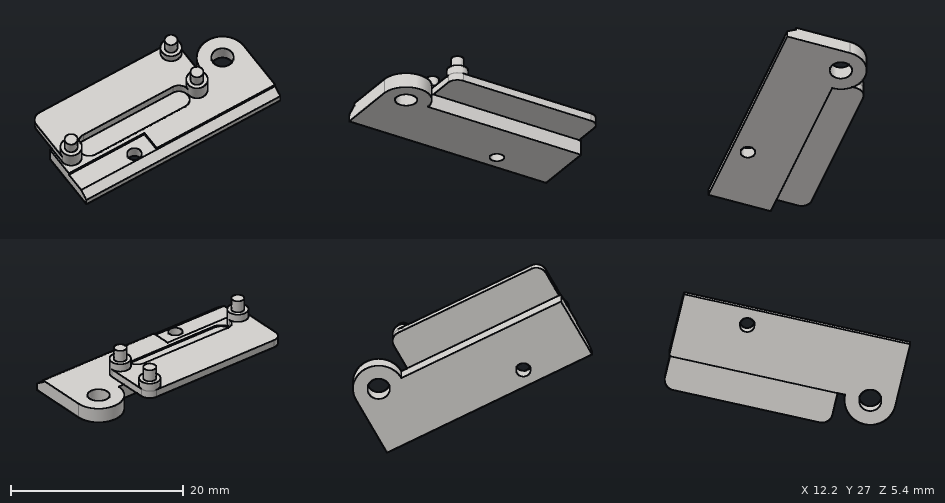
import cadquery as cq

length = 27.0
width = 12.25
base_height = 1.9
bar_left = 4.54
hub_radius = 3.0
hub_hole_diameter = 2.6

recess_depth = 0.3
bevel_left = 11.15
bevel_end_height = 0.9

pocket_left = 8.55
pocket_length = 10.5
pocket_hole_diameter = 1.7
pocket_hole_center = (10.25, 8.0)

plate_thickness = 1.0
post_diameter = 2.5
post_shoulder = 1.0
pin_diameter = 1.5
pin_height = 1.5
post_spacing_x = 5.48
post_spacing_y = 17.5
front_post_y = 1.5

slot_depth_in_base = 0.2

post_radius = post_diameter / 2
left_post_x = post_radius
right_post_x = left_post_x + post_spacing_x
back_post_y = front_post_y + post_spacing_y
plate_top = base_height + plate_thickness
recess_floor = base_height - recess_depth
hub_center = (bar_left, length - hub_radius)
post_centers = [
    (left_post_x, back_post_y),
    (right_post_x, back_post_y),
    (right_post_x, front_post_y),
]


def box(x_min, x_max, y_min, y_max, z_min, height):
    """Axis-aligned block given by its plan limits, bottom and height."""
    return (
        cq.Workplane("XY", origin=(x_min, y_min, z_min))
        .box(x_max - x_min, y_max - y_min, height, centered=False)
    )


def cylinder(center, diameter, z_min, height):
    """Upright cylinder standing at z_min."""
    return cq.Workplane("XY", origin=(*center, z_min)).circle(diameter / 2).extrude(height)


def make_base():
    """Bar with a stepped, beveled right edge, a round hub, a pocket and two holes."""
    bar = (
        cq.Workplane("XZ")
        .moveTo(bar_left, 0)
        .lineTo(width, 0)
        .lineTo(width, bevel_end_height)
        .lineTo(bevel_left, recess_floor)
        .lineTo(bevel_left, base_height)
        .lineTo(bar_left, base_height)
        .close()
        .extrude(-length)
    )
    hub = cylinder(hub_center, 2 * hub_radius, 0, base_height)
    pocket = box(pocket_left, bevel_left, 0, pocket_length, recess_floor, recess_depth)
    hub_hole = cylinder(hub_center, hub_hole_diameter, 0, base_height)
    pocket_hole = cylinder(pocket_hole_center, pocket_hole_diameter, 0, base_height)
    return bar.union(hub).cut(pocket).cut(hub_hole).cut(pocket_hole)


def make_plate():
    """Plate ending at the right-hand post axis, with both left corners rounded."""
    plate = box(
        0, right_post_x,
        front_post_y - post_radius, back_post_y + post_radius,
        base_height, plate_thickness,
    )
    return plate.edges("|Z and <X").fillet(post_radius)


def make_post(center):
    """Shouldered post with a smaller pin on top."""
    shoulder_height = plate_thickness + post_shoulder
    shoulder = cylinder(center, post_diameter, base_height, shoulder_height)
    pin = cylinder(center, pin_diameter, base_height + shoulder_height, pin_height)
    return shoulder.union(pin)


def make_slot():
    """Round-ended slot whose ends just touch the two right-hand posts."""
    slot_length = post_spacing_y - post_diameter
    slot_floor = base_height - slot_depth_in_base
    middle_y = (front_post_y + back_post_y) / 2
    return (
        cq.Workplane("XY", origin=(right_post_x, middle_y, slot_floor))
        .slot2D(slot_length, post_diameter, 90)
        .extrude(plate_top - slot_floor)
    )


result = make_base().union(make_plate()).cut(make_slot())
for post_center in post_centers:
    result = result.union(make_post(post_center))